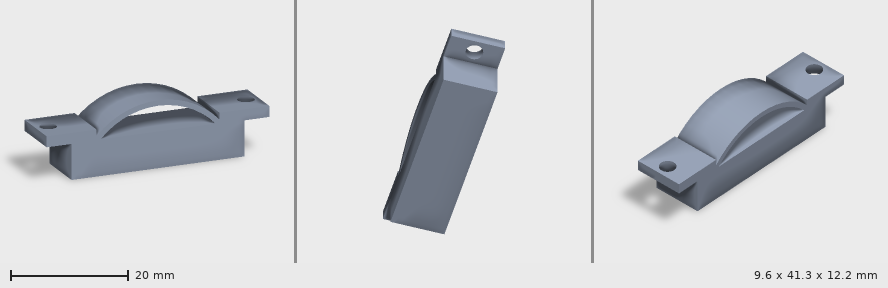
import cadquery as cq

width = 9.6
length = 41.3
height = 12.22

body_length = 32.05
shoulder_height = 8.45
tab_thickness = 2.0
hole_diameter = 3.0
tab_length = (length - body_length) / 2
hole_y = (length - tab_length) / 2

outer_radius = 15.55
strap_thickness = 1.0
recess_length = 22.8
window_floor = 6.6
inner_radius = outer_radius - strap_thickness
arch_axis_z = height - outer_radius


def block(y_length, z_bottom, z_top):
    """Full-width block centred on X and Y."""
    return (
        cq.Workplane("XY")
        .box(width, y_length, z_top - z_bottom, centered=(True, True, False))
        .translate((0, 0, z_bottom))
    )


def arch_cylinder(radius):
    """Full-width cylinder on the axis of the arch."""
    return (
        cq.Workplane("YZ")
        .center(0, arch_axis_z)
        .circle(radius)
        .extrude(width / 2, both=True)
    )


base = block(body_length, 0, shoulder_height)
tabs = block(length, shoulder_height - tab_thickness, shoulder_height)
recess = block(recess_length, window_floor, height)
base = base.union(tabs).cut(recess)

arch = arch_cylinder(outer_radius).intersect(recess)
window = arch_cylinder(inner_radius).intersect(recess)

holes = (
    cq.Workplane("XY")
    .pushPoints([(0, -hole_y), (0, hole_y)])
    .circle(hole_diameter / 2)
    .extrude(height)
)

result = base.union(arch).cut(window).cut(holes)